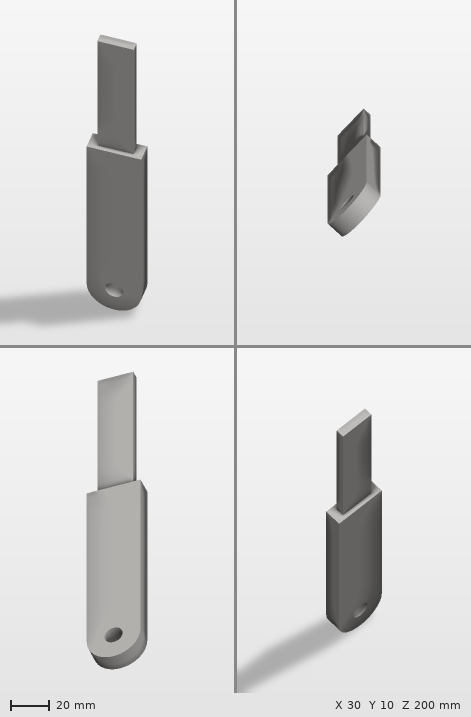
import cadquery as cq

total_length = 200.0
body_width = 30.0
body_thickness = 10.0

tang_length = 80.0
tang_width = 20.0
tang_thickness = 5.0

hole_diameter = 10.0
end_radius = body_width / 2
body_length = total_length - tang_length
straight_length = body_length - end_radius


def make_body():
    """Flat bar with a full-round lower end; the arc centre is the origin."""
    return (
        cq.Workplane("XZ")
        .moveTo(-end_radius, 0)
        .lineTo(-end_radius, straight_length)
        .lineTo(end_radius, straight_length)
        .lineTo(end_radius, 0)
        .threePointArc((0, -end_radius), (-end_radius, 0))
        .close()
        .extrude(body_thickness / 2, both=True)
    )


def make_tang():
    """Rectangular bar rising from the top face of the body."""
    return (
        cq.Workplane("XY", origin=(0, 0, straight_length))
        .rect(tang_width, tang_thickness)
        .extrude(tang_length)
    )


def make_pivot_hole():
    """Cylinder running through the full body thickness."""
    return (
        cq.Workplane("XZ")
        .circle(hole_diameter / 2)
        .extrude(body_thickness, both=True)
    )


result = make_body().union(make_tang()).cut(make_pivot_hole())